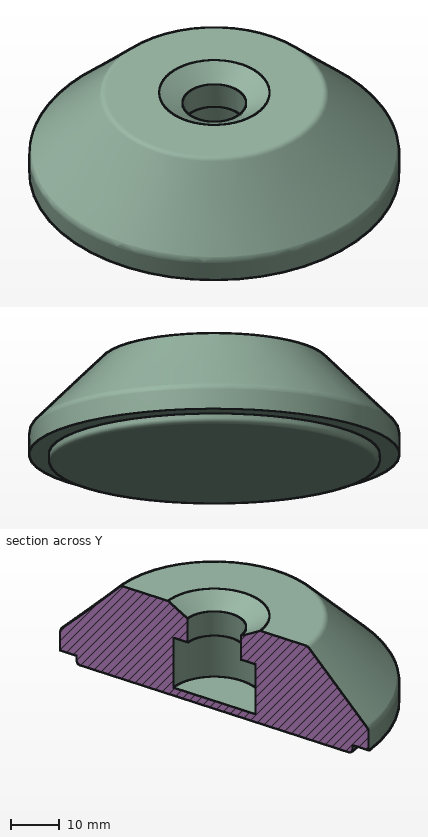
import cadquery as cq

body_radius = 38.0
lip_radius = 34.0
lip_height = 2.0
lip_fillet = 1.0
shoulder_height = 6.9
total_height = 22.0
cone_rise = total_height - shoulder_height
top_radius = body_radius - cone_rise
edge_fillet = 1.7

sink_radius = 11.3
hole_radius = 6.5
sink_depth = 2.65
hole_depth = 8.35

chamber_radius = 10.0
chamber_floor = lip_height


def turned_body():
    """Lip, cylindrical rim and conical flank, with their edges rounded."""
    lip = cq.Workplane("XY").circle(lip_radius).extrude(lip_height)
    lip = lip.faces("<Z").edges().fillet(lip_fillet)
    flank = (
        cq.Workplane("XZ")
        .moveTo(0, lip_height)
        .lineTo(body_radius, lip_height)
        .lineTo(body_radius, shoulder_height)
        .lineTo(top_radius, total_height)
        .lineTo(0, total_height)
        .close()
        .revolve(360, (0, 0), (0, 1))
    )
    shoulder_edge = cq.selectors.BoxSelector(
        (-body_radius, -body_radius, lip_height + edge_fillet),
        (body_radius, body_radius, total_height + edge_fillet),
    )
    flank = flank.edges("%CIRCLE").edges(shoulder_edge).fillet(edge_fillet)
    return lip.union(flank)


def stepped_hole():
    """Cutter for the conical countersink and the hole and chamber below it."""
    return (
        cq.Workplane("XZ")
        .moveTo(0, total_height)
        .lineTo(sink_radius, total_height)
        .lineTo(hole_radius, total_height - sink_depth)
        .lineTo(hole_radius, total_height - hole_depth)
        .lineTo(chamber_radius, total_height - hole_depth)
        .lineTo(chamber_radius, chamber_floor)
        .lineTo(0, chamber_floor)
        .close()
        .revolve(360, (0, 0), (0, 1))
    )


result = turned_body().cut(stepped_hole())